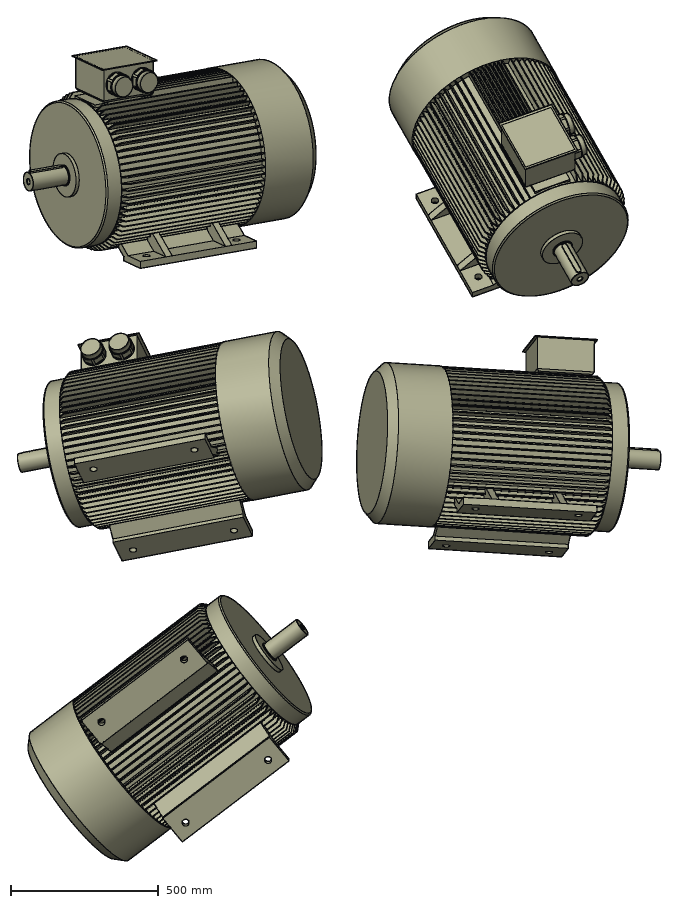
import cadquery as cq
import math


SHAFT_D = 65.0
SHAFT_LENGTH = 140.0
SHAFT_CHAMFER = 1.0
COLLAR_D = 72.0
FLANGE_D = 150.0
FLANGE_FRONT_Y = 4.0
CENTRE_HOLE_D = 17.29
CENTRE_HOLE_DEPTH = 42.0
CENTRE_HOLE_CHAMFER = 2.0
DRILL_POINT_ANGLE = 118.0

KEY_WIDTH = 18.0
KEY_LENGTH = 132.0
KEY_END_GAP = 4.0
KEY_TOP_Z = 36.5

BELL_D = 505.0
BELL_CHAMFER = 5.0
BELL_FRONT_Y = 17.0
BELL_REAR_Y = 77.0
FRAME_D = 500.0

HOOD_D = 547.0
HOOD_FRONT_Y = 635.0
HOOD_REAR_Y = 855.0
HOOD_CHAMFER = 31.0

FIN_TIP_D = 544.0
FIN_THICKNESS = 4.0
FIN_PITCH_ANGLE = 5.0
FIN_FREE_HALF_ANGLE = 20.0
FIN_FRONT_CHAMFER = 18.0
FIN_ROOT_OVERLAP = 6.0
CROWN_ROOT_Z = 238.0

CROWN_FIN_COUNT = 9
CROWN_FIN_PITCH = 15.0
CROWN_FIN_FRONT_Y = 313.0
CROWN_FIN_BEVEL_LENGTH = 9.0
CROWN_FIN_BEVEL_HEIGHT = 15.0

BOX_CENTRE_Y = 203.0
BOX_TOP_Z = 384.0
BOX_BOTTOM_Z = 270.0
BOX_WIDTH = 183.0
BOX_LENGTH = 197.0
LID_WIDTH = 196.0
LID_LENGTH = 216.0
LID_THICKNESS = 3.0
BASE_BEVEL_INSET = 5.0
BASE_BEVEL_HEIGHT = 7.5
PEDESTAL_WIDTH = 129.0
PEDESTAL_LENGTH = 132.0
SEAT_FRONT_Y = 85.5
SEAT_TOP_Z = 252.0

GLAND_SPACING = 100.0
GLAND_Z = 325.0
GLAND_D = 80.0
GLAND_HEX_ACROSS_FLATS = 73.0
GLAND_NECK_LENGTH = 5.0
GLAND_HEX_LENGTH = 25.0
GLAND_WASHER_LENGTH = 2.0
GLAND_CAP_D = 72.0
GLAND_CAP_LENGTH = 20.0
GLAND_CAP_END_D = 69.61
GLAND_CAP_TAPER_LENGTH = 4.0

AXIS_HEIGHT = 280.0
FEET_WIDTH = 550.0
FOOT_PAD_WIDTH = 107.0
FOOT_THICKNESS = 25.0
FOOT_FRONT_Y = 136.5
FOOT_LENGTH = 462.0
FOOT_WALL_ANGLE = 35.0
FOOT_WALL_INNER_DROP = 11.0
FOOT_WALL_START_X = 196.0
FOOT_WALL_RUN = 90.0
RIB_THICKNESS = 25.0
RIB_RUN = 115.0
RIB_CENTRES_Y = (251.0, 488.0)
FOOT_HOLE_D = 24.0
FOOT_HOLE_SPACING_X = 457.0
FOOT_HOLES_Y = (190.0, 547.0)


def box_between(x_range, y_range, z_range):
    """Block spanning the given ranges."""
    size = [high - low for low, high in (x_range, y_range, z_range)]
    return cq.Workplane("XY").box(*size, centered=False).translate((x_range[0], y_range[0], z_range[0]))


def centred_block(width, length, bottom_z, top_z):
    """Block centred under the terminal box."""
    return box_between(
        (-width / 2, width / 2),
        (BOX_CENTRE_Y - length / 2, BOX_CENTRE_Y + length / 2),
        (bottom_z, top_z),
    )


def revolve_about_y(points):
    """Solid of revolution about Y from (radius, y) points."""
    return cq.Workplane("XY").polyline(points).close().revolve(360, (0, 0, 0), (0, 1, 0))


def make_core():
    """Shaft, collar, flange, end bell, frame barrel and fan hood as one turned solid."""
    shaft_r = SHAFT_D / 2
    hood_r = HOOD_D / 2
    return revolve_about_y([
        (0, -SHAFT_LENGTH),
        (shaft_r - SHAFT_CHAMFER, -SHAFT_LENGTH),
        (shaft_r, -SHAFT_LENGTH + SHAFT_CHAMFER),
        (shaft_r, 0),
        (COLLAR_D / 2, 0),
        (COLLAR_D / 2, FLANGE_FRONT_Y),
        (FLANGE_D / 2, FLANGE_FRONT_Y),
        (FLANGE_D / 2, BELL_FRONT_Y),
        (BELL_D / 2 - BELL_CHAMFER, BELL_FRONT_Y),
        (BELL_D / 2, BELL_FRONT_Y + BELL_CHAMFER),
        (BELL_D / 2, BELL_REAR_Y),
        (FRAME_D / 2, BELL_REAR_Y),
        (FRAME_D / 2, HOOD_FRONT_Y),
        (hood_r, HOOD_FRONT_Y),
        (hood_r, HOOD_REAR_Y - HOOD_CHAMFER),
        (hood_r - HOOD_CHAMFER, HOOD_REAR_Y),
        (0, HOOD_REAR_Y),
    ])


def make_centre_hole():
    """Blind bore in the shaft end with a countersunk mouth and a drill point."""
    hole_r = CENTRE_HOLE_D / 2
    point_depth = hole_r / math.tan(math.radians(DRILL_POINT_ANGLE / 2))
    return revolve_about_y([
        (0, -SHAFT_LENGTH),
        (hole_r + CENTRE_HOLE_CHAMFER, -SHAFT_LENGTH),
        (hole_r, -SHAFT_LENGTH + CENTRE_HOLE_CHAMFER),
        (hole_r, -SHAFT_LENGTH + CENTRE_HOLE_DEPTH),
        (0, -SHAFT_LENGTH + CENTRE_HOLE_DEPTH + point_depth),
    ])


def make_key():
    """Round-ended key standing proud of the shaft."""
    return (
        cq.Workplane("XY")
        .center(0, -KEY_END_GAP - KEY_LENGTH / 2)
        .slot2D(KEY_LENGTH, KEY_WIDTH, 90)
        .extrude(KEY_TOP_Z)
    )


def make_radial_fins():
    """Fins around the barrel, chamfered at the front and absent under the terminal box."""
    tip_r = FIN_TIP_D / 2
    root_r = FRAME_D / 2 - FIN_ROOT_OVERLAP
    fin = (
        cq.Workplane("YZ")
        .polyline([
            (BELL_REAR_Y, root_r),
            (BELL_REAR_Y, tip_r - FIN_FRONT_CHAMFER),
            (BELL_REAR_Y + FIN_FRONT_CHAMFER, tip_r),
            (HOOD_FRONT_Y, tip_r),
            (HOOD_FRONT_Y, root_r),
        ])
        .close()
        .extrude(FIN_THICKNESS / 2, both=True)
    )
    fin_count = round((360 - 2 * FIN_FREE_HALF_ANGLE) / FIN_PITCH_ANGLE) + 1
    fins = []
    for index in range(fin_count):
        angle = FIN_FREE_HALF_ANGLE + index * FIN_PITCH_ANGLE
        fins.append(fin.rotate((0, 0, 0), (0, 1, 0), angle))
    return fins


def make_crown_fins():
    """Upright parallel fins between the terminal box and the hood."""
    fins = []
    for index in range(CROWN_FIN_COUNT):
        x = (index - (CROWN_FIN_COUNT - 1) / 2) * CROWN_FIN_PITCH
        top_z = math.sqrt((FIN_TIP_D / 2) ** 2 - x ** 2)
        fin = (
            cq.Workplane("YZ")
            .polyline([
                (CROWN_FIN_FRONT_Y, CROWN_ROOT_Z),
                (CROWN_FIN_FRONT_Y, top_z - CROWN_FIN_BEVEL_HEIGHT),
                (CROWN_FIN_FRONT_Y + CROWN_FIN_BEVEL_LENGTH, top_z),
                (HOOD_FRONT_Y, top_z),
                (HOOD_FRONT_Y, CROWN_ROOT_Z),
            ])
            .close()
            .extrude(FIN_THICKNESS / 2, both=True)
        )
        fins.append(fin.translate((x, 0, 0)))
    return fins


def make_terminal_box():
    """Terminal box with its lid, bevelled base, pedestal and the seat on the frame."""
    base_z = BOX_BOTTOM_Z - BASE_BEVEL_HEIGHT
    bevel_angle = math.degrees(math.atan2(BASE_BEVEL_INSET, BASE_BEVEL_HEIGHT))
    bevelled_base = (
        cq.Workplane("XY", origin=(0, BOX_CENTRE_Y, BOX_BOTTOM_Z))
        .rect(BOX_WIDTH, BOX_LENGTH)
        .extrude(-BASE_BEVEL_HEIGHT, taper=bevel_angle)
    )
    half_seat = PEDESTAL_WIDTH / 2
    return [
        centred_block(LID_WIDTH, LID_LENGTH, BOX_TOP_Z - LID_THICKNESS, BOX_TOP_Z),
        centred_block(BOX_WIDTH, BOX_LENGTH, BOX_BOTTOM_Z, BOX_TOP_Z - LID_THICKNESS),
        bevelled_base,
        centred_block(PEDESTAL_WIDTH, PEDESTAL_LENGTH, CROWN_ROOT_Z, base_z),
        box_between((-half_seat, half_seat), (SEAT_FRONT_Y, CROWN_FIN_FRONT_Y), (CROWN_ROOT_Z, SEAT_TOP_Z)),
    ]


def make_gland(centre_y):
    """Cable gland on the +X wall of the terminal box."""
    hex_across_corners = GLAND_HEX_ACROSS_FLATS / math.cos(math.pi / 6)
    hex_start = GLAND_NECK_LENGTH
    washer_start = hex_start + GLAND_HEX_LENGTH
    cap_start = washer_start + GLAND_WASHER_LENGTH
    cap_end = cap_start + GLAND_CAP_LENGTH
    gland = revolve_about_y([
        (0, 0),
        (GLAND_D / 2, 0),
        (GLAND_D / 2, cap_start),
        (GLAND_CAP_D / 2, cap_start),
        (GLAND_CAP_D / 2, cap_end - GLAND_CAP_TAPER_LENGTH),
        (GLAND_CAP_END_D / 2, cap_end),
        (0, cap_end),
    ])
    hex_trim = (
        cq.Workplane("XZ", origin=(0, hex_start, 0))
        .circle(GLAND_D)
        .polygon(6, hex_across_corners)
        .extrude(-GLAND_HEX_LENGTH)
    )
    gland = gland.cut(hex_trim.rotate((0, 0, 0), (0, 1, 0), 30))
    gland = gland.rotate((0, 0, 0), (0, 0, 1), -90)
    return gland.translate((BOX_WIDTH / 2, centre_y, GLAND_Z))


def make_foot():
    """Foot on the +X side: pad, slanted wall, two ribs and two bolt holes."""
    outer_x = FEET_WIDTH / 2
    inner_x = outer_x - FOOT_PAD_WIDTH
    bottom_z = -AXIS_HEIGHT
    pad_top_z = bottom_z + FOOT_THICKNESS
    wall_slope = math.tan(math.radians(FOOT_WALL_ANGLE))
    wall_rise = FOOT_WALL_RUN * wall_slope
    wall_inner_z = pad_top_z - FOOT_WALL_INNER_DROP

    foot = (
        cq.Workplane("XZ", origin=(0, FOOT_FRONT_Y, 0))
        .polyline([
            (outer_x, bottom_z),
            (outer_x, pad_top_z),
            (FOOT_WALL_START_X, pad_top_z),
            (FOOT_WALL_START_X - FOOT_WALL_RUN, pad_top_z + wall_rise),
            (inner_x - FOOT_WALL_RUN, wall_inner_z + wall_rise),
            (inner_x, wall_inner_z),
            (inner_x, bottom_z),
        ])
        .close()
        .extrude(-FOOT_LENGTH)
    )
    for y in RIB_CENTRES_Y:
        rib = (
            cq.Workplane("XZ", origin=(0, y, 0))
            .polyline([
                (outer_x, pad_top_z),
                (FOOT_WALL_START_X, pad_top_z),
                (FOOT_WALL_START_X - FOOT_WALL_RUN, pad_top_z + wall_rise),
                (outer_x - RIB_RUN, pad_top_z + RIB_RUN * wall_slope),
            ])
            .close()
            .extrude(RIB_THICKNESS / 2, both=True)
        )
        foot = foot.union(rib)
    holes = (
        cq.Workplane("XY", origin=(0, 0, bottom_z))
        .pushPoints([(FOOT_HOLE_SPACING_X / 2, y) for y in FOOT_HOLES_Y])
        .circle(FOOT_HOLE_D / 2)
        .extrude(FOOT_THICKNESS)
    )
    return foot.cut(holes)


def make_motor():
    """Whole motor fused into one solid, with the shaft bore cut last."""
    foot = make_foot()
    pieces = [make_key(), foot, foot.mirror("YZ")]
    pieces += make_radial_fins()
    pieces += make_crown_fins()
    pieces += make_terminal_box()
    for side in (-1, 1):
        pieces.append(make_gland(BOX_CENTRE_Y + side * GLAND_SPACING / 2))
    solids = [piece.val() for piece in pieces]
    core = make_core().val().fuse(*solids)
    return cq.Workplane(obj=core).cut(make_centre_hole())


result = make_motor()